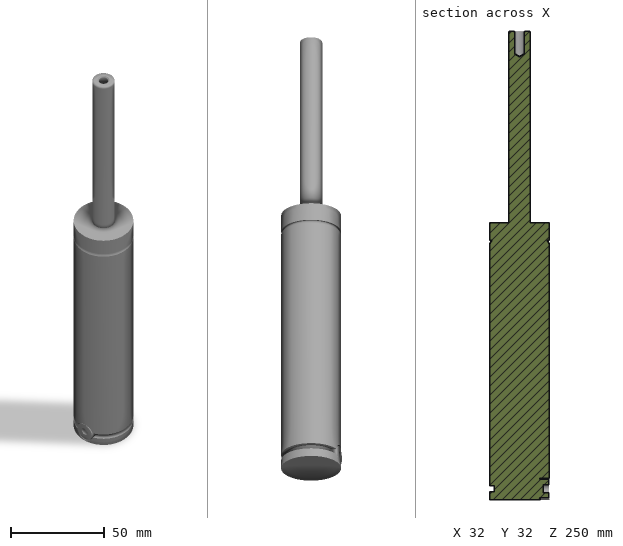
import cadquery as cq
import math

TOTAL_LENGTH = 250.0
BODY_DIAMETER = 32.0
BODY_LENGTH = 148.0

ROD_DIAMETER = 12.0
ROD_END_RADIUS = 1.0

ROD_HOLE_DIAMETER = 5.0
ROD_HOLE_MOUTH_DIAMETER = 6.2
ROD_HOLE_DEPTH = 12.0
DRILL_POINT_ANGLE = 118.0

HEAD_DIAMETER = 31.9
HEAD_HEIGHT = 9.7
MOUTH_CHAMFER_HEIGHT = 1.8
MOUTH_CHAMFER_INSET = 1.0

FOOT_HEIGHT = 4.5
FOOT_GROOVE_WIDTH = 3.0
FOOT_GROOVE_DEPTH = 2.5

PORT_HEIGHT = 6.0
PORT_FACE_Y = -15.7
PORT_BORE_DIAMETER = 11.0
PORT_PLUG_DIAMETER = 10.0
PORT_BORE_FLOOR_Y = -11.0
PORT_HOLE_DIAMETER = 4.0
PORT_HOLE_DEPTH = 3.0


def disc(diameter, bottom, height):
    """Upright cylinder on the part axis."""
    return cq.Workplane("XY").workplane(offset=bottom).circle(diameter / 2).extrude(height)


def ring_groove(bottom, width, depth):
    """Ring to cut from the outside of the body."""
    return disc(BODY_DIAMETER, bottom, width).cut(disc(BODY_DIAMETER - 2 * depth, bottom, width))


def port_cylinder(diameter, start_y, end_y):
    """Cylinder on the port axis, running from start_y out to end_y."""
    return (
        cq.Workplane("XZ", origin=(0, start_y, PORT_HEIGHT))
        .circle(diameter / 2)
        .extrude(start_y - end_y)
    )


def make_body():
    """Turned head and tube, with a chamfered tube mouth under the head and a foot groove."""
    head_radius = HEAD_DIAMETER / 2
    tube_radius = BODY_DIAMETER / 2
    head_bottom = BODY_LENGTH - HEAD_HEIGHT
    profile = (
        cq.Workplane("XZ")
        .lineTo(tube_radius, 0)
        .lineTo(tube_radius, head_bottom - MOUTH_CHAMFER_HEIGHT)
        .lineTo(tube_radius - MOUTH_CHAMFER_INSET, head_bottom)
        .lineTo(head_radius, head_bottom)
        .lineTo(head_radius, BODY_LENGTH)
        .lineTo(0, BODY_LENGTH)
        .close()
    )
    body = profile.revolve(360, (0, 0, 0), (0, 1, 0))
    return body.cut(ring_groove(FOOT_HEIGHT, FOOT_GROOVE_WIDTH, FOOT_GROOVE_DEPTH))


def make_rod():
    """Rod with a rounded edge around its free end."""
    rod = disc(ROD_DIAMETER, BODY_LENGTH, TOTAL_LENGTH - BODY_LENGTH)
    return rod.faces(">Z").edges().fillet(ROD_END_RADIUS)


def make_rod_hole():
    """Drilled hole with a pointed bottom and a 45 degree countersink at its mouth."""
    radius = ROD_HOLE_DIAMETER / 2
    mouth_radius = ROD_HOLE_MOUTH_DIAMETER / 2
    floor = TOTAL_LENGTH - ROD_HOLE_DEPTH
    tip = floor - radius / math.tan(math.radians(DRILL_POINT_ANGLE / 2))
    return (
        cq.Workplane("XZ")
        .moveTo(0, tip)
        .lineTo(radius, floor)
        .lineTo(radius, TOTAL_LENGTH - (mouth_radius - radius))
        .lineTo(mouth_radius, TOTAL_LENGTH)
        .lineTo(0, TOTAL_LENGTH)
        .close()
        .revolve(360, (0, 0, 0), (0, 1, 0))
    )


def add_port(body):
    """Bore the body, stand the flat-faced plug in the bore and drill the plug."""
    bore = port_cylinder(PORT_BORE_DIAMETER, PORT_BORE_FLOOR_Y, -BODY_DIAMETER / 2)
    plug = port_cylinder(PORT_PLUG_DIAMETER, PORT_BORE_FLOOR_Y, PORT_FACE_Y)
    hole = port_cylinder(PORT_HOLE_DIAMETER, PORT_FACE_Y + PORT_HOLE_DEPTH, PORT_FACE_Y)
    return body.cut(bore).union(plug).cut(hole)


result = add_port(make_body()).union(make_rod()).cut(make_rod_hole())